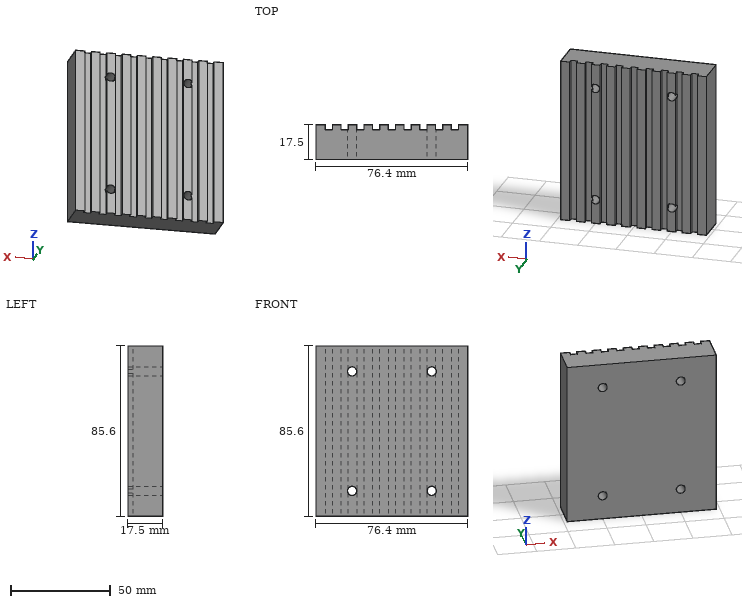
import cadquery as cq

width = 76.38
thickness = 17.5
height = 85.6

groove_count = 9
groove_pitch = 7.92
groove_width = 3.5
groove_depth = 2.5

hole_diameter = 4.5
hole_spacing_x = 40.0
hole_spacing_z = 60.0


def make_block():
    return cq.Workplane("XY").box(width, thickness, height)


def cut_grooves(body):
    """Cut evenly spaced, full-height grooves into the back face."""
    groove_center_y = (thickness - groove_depth) / 2
    first_groove_x = -groove_pitch * (groove_count - 1) / 2
    for index in range(groove_count):
        groove_x = first_groove_x + index * groove_pitch
        groove = (
            cq.Workplane("XY")
            .box(groove_width, groove_depth, height)
            .translate((groove_x, groove_center_y, 0))
        )
        body = body.cut(groove)
    return body


def cut_mounting_holes(body):
    """Drill four through holes on a rectangle centred on the block."""
    holes = (
        cq.Workplane("XZ")
        .rect(hole_spacing_x, hole_spacing_z, forConstruction=True)
        .vertices()
        .circle(hole_diameter / 2)
        .extrude(thickness / 2, both=True)
    )
    return body.cut(holes)


result = cut_mounting_holes(cut_grooves(make_block()))